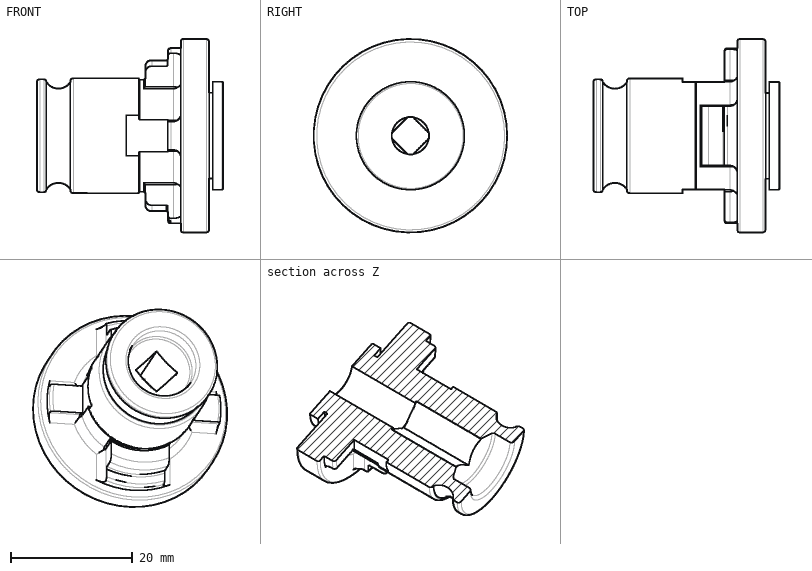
import cadquery as cq
import math

lip_radius = 9.35
lip_round = 0.48
groove_start = 1.6
groove_end = 5.55
groove_radius = 7.8
barrel_radius = 9.5
barrel_round = 0.48
barrel_end = 16.8
hub_radius = 9.28
flange_start = 23.8
flange_end = 28.45
flange_radius = 16.0
flange_front_round = 0.4
flange_rear_round = 0.48
undercut_radius = 7.1
tail_start = 29.02
tail_radius = 8.93
tail_round = 0.25
total_length = 30.8

flare_radius = 1.3
flare_start = flange_start - flare_radius
lug_radius = 14.5
lug_round = 0.48
lug_front = 21.65
lug_foot_chamfer = 0.22
side_lug_half_width = 2.35
main_lug_half_width = 4.9
main_lug_front = 17.92
main_lug_step_radius = 12.48
main_lug_step_round = 1.02
main_lug_inner_fillet = 0.32

flat_start = 14.75
flat_offset = 8.9

bore_radius = 5.7
bore_depth = 3.87
bore_mouth_round = 0.55
bore_floor_fillet = 0.48
drill_point_angle = 135.0
square_side = 4.95
square_depth = 17.92
through_radius = 3.07

SLACK = 0.03
ROUND_MID = math.sqrt(0.5)


def corner_arc(path, start, corner, end):
    """Round a right-angled corner: arc from start to end, bulging toward corner."""
    center = (start[0] + end[0] - corner[0], start[1] + end[1] - corner[1])
    middle = tuple(c + ROUND_MID * (k - c) for c, k in zip(center, corner))
    return path.lineTo(*start).threePointArc(middle, end)


def turned(path):
    """Close an (axial, radial) outline and spin it about the X axis."""
    return path.close().revolve(360, (0, 0, 0), (1, 0, 0))


def cylinder(radius, start, end):
    """Cylinder along the X axis between two stations."""
    return cq.Workplane("YZ").workplane(offset=start).circle(radius).extrude(end - start)


def make_hub():
    """Retaining lip, ball groove, barrel and plain hub."""
    path = cq.Workplane("XY").moveTo(0, 0)
    path = corner_arc(path, (0, lip_radius - lip_round), (0, lip_radius), (lip_round, lip_radius))
    groove_edge = lip_radius - lip_round
    path = corner_arc(path, (groove_start - lip_round, lip_radius), (groove_start, lip_radius),
                      (groove_start, groove_edge))
    path = path.threePointArc(((groove_start + groove_end) / 2, groove_radius), (groove_end, groove_edge))
    path = corner_arc(path, (groove_end, barrel_radius - barrel_round), (groove_end, barrel_radius),
                      (groove_end + barrel_round, barrel_radius))
    step = barrel_radius - hub_radius
    path = corner_arc(path, (barrel_end, barrel_radius), (barrel_end, hub_radius),
                      (barrel_end + step, hub_radius))
    path = path.lineTo(flange_start, hub_radius).lineTo(flange_start, 0)
    return turned(path)


def make_flange():
    """Flange with the flare to the hub in front and the grooved tail behind."""
    path = cq.Workplane("XY").moveTo(flare_start, 0)
    path = corner_arc(path, (flare_start, hub_radius), (flange_start, hub_radius),
                      (flange_start, hub_radius + flare_radius))
    path = corner_arc(path, (flange_start, flange_radius - flange_front_round),
                      (flange_start, flange_radius), (flange_start + flange_front_round, flange_radius))
    path = corner_arc(path, (flange_end - flange_rear_round, flange_radius),
                      (flange_end, flange_radius), (flange_end, flange_radius - flange_rear_round))
    path = path.lineTo(flange_end, undercut_radius).lineTo(tail_start, undercut_radius)
    path = path.lineTo(tail_start, tail_radius)
    path = corner_arc(path, (total_length - tail_round, tail_radius), (total_length, tail_radius),
                      (total_length, tail_radius - tail_round))
    return turned(path.lineTo(total_length, 0))


def make_lug_bar(plane, half_width, front):
    """Bar across the full flange, its two sides flaring out where they meet the flange."""
    wide = half_width + flare_radius
    path = cq.Workplane(plane).moveTo(front, -half_width)
    path = corner_arc(path, (flare_start, -half_width), (flange_start, -half_width), (flange_start, -wide))
    path = corner_arc(path, (flange_start, wide), (flange_start, half_width), (flare_start, half_width))
    return path.lineTo(front, half_width).close().extrude(flange_radius, both=True)


def make_side_lug_envelope():
    """Disc that bounds the lugs on the Y sides."""
    path = cq.Workplane("XY").moveTo(lug_front, 0)
    path = corner_arc(path, (lug_front, lug_radius - lug_round), (lug_front, lug_radius),
                      (lug_front + lug_round, lug_radius))
    return turned(path.lineTo(flange_start, lug_radius).lineTo(flange_start, 0))


def make_main_lug_envelope():
    """Stepped disc that bounds the lugs on the Z sides."""
    step = main_lug_step_radius
    path = cq.Workplane("XY").moveTo(main_lug_front, 0)
    path = corner_arc(path, (main_lug_front, step - main_lug_step_round), (main_lug_front, step),
                      (main_lug_front + main_lug_step_round, step))
    path = corner_arc(path, (lug_front - main_lug_inner_fillet, step), (lug_front, step),
                      (lug_front, step + main_lug_inner_fillet))
    path = corner_arc(path, (lug_front, lug_radius - lug_round), (lug_front, lug_radius),
                      (lug_front + lug_round, lug_radius))
    return turned(path.lineTo(flange_start, lug_radius).lineTo(flange_start, 0))


def make_socket():
    """Round bore with a drill-point floor, a square drive hole on its corner and a clearance hole."""
    half_angle = math.radians(drill_point_angle / 2)
    apex = bore_depth + bore_radius / math.tan(half_angle)

    tangent = bore_floor_fillet * math.tan(half_angle / 2)
    fillet_center = (bore_depth - tangent, bore_radius - bore_floor_fillet)

    def fillet_point(turn):
        return (fillet_center[0] + bore_floor_fillet * math.sin(turn),
                fillet_center[1] + bore_floor_fillet * math.cos(turn))

    path = cq.Workplane("XY").moveTo(0, 0)
    path = corner_arc(path, (0, bore_radius + bore_mouth_round), (0, bore_radius),
                      (bore_mouth_round, bore_radius))
    path = path.lineTo(*fillet_point(0))
    path = path.threePointArc(fillet_point(half_angle / 2), fillet_point(half_angle))
    socket = turned(path.lineTo(apex, 0))
    square = cq.Workplane("YZ").rect(square_side, square_side).extrude(square_depth)
    square = square.rotate((0, 0, 0), (1, 0, 0), 45)
    return socket.union(square).union(cylinder(through_radius, square_depth, total_length))


hub = make_hub()
side_lugs = make_lug_bar("XZ", side_lug_half_width, lug_front).intersect(make_side_lug_envelope())
main_lugs = make_lug_bar("XY", main_lug_half_width, main_lug_front).intersect(make_main_lug_envelope())
body = hub.union(side_lugs).union(main_lugs)

for front, half_y, half_z in ((main_lug_front, main_lug_half_width, hub_radius),
                              (lug_front, hub_radius, side_lug_half_width)):
    lug_foot = cq.selectors.BoxSelector(
        (front - SLACK, -half_y - SLACK, -half_z - SLACK),
        (flare_start + SLACK, half_y + SLACK, half_z + SLACK), boundingbox=True)
    body = body.edges(lug_foot).chamfer(lug_foot_chamfer)

body = body.union(make_flange())

flat_depth = lug_radius - flat_offset
flat_length = lug_front - flat_start
for side in (-1, 1):
    flat_cut = cq.Workplane("XY").box(flat_length, flat_depth, 2 * main_lug_half_width)
    flat_center = (flat_start + flat_length / 2, side * (flat_offset + flat_depth / 2), 0)
    body = body.cut(flat_cut.translate(flat_center))

result = body.cut(make_socket())